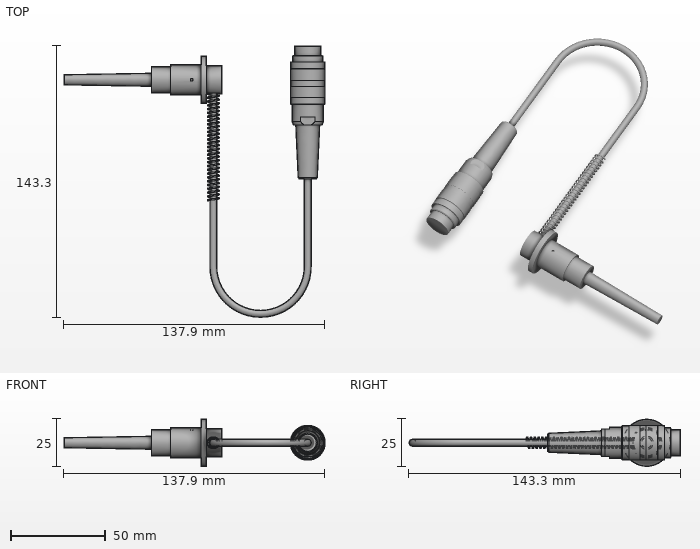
import cadquery as cq

cable_dia = 3.7
plug_x = 49.9
bend_radius = plug_x / 2
bend_y = -98.7

rod_tip_x = -78.8
collar_start_x = -32.8
barrel_start_x = -22.6
flange_start_x = -6.5
head_start_x = -3.7
head_end_x = 4.5

rod_tip_dia = 5.5
rod_base_dia = 7.0
collar_dia = 13.9
barrel_dia = 16.0
flange_dia = 25.0
head_dia = 15.0

vent_dia = 1.5
vent_x = -11.5
vent_depth = 1.5

wire_dia = 0.7
spring_dia = 6.3
coil_pitch = 2.0
coil_count = 28
first_coil_y = -7.5
seat_dia = 6.6
seat_y = first_coil_y + wire_dia / 2

plug_end_y = 17.8
nose_length = 4.9
shoulder_length = 3.5
ring_length = 3.9
grip_length = 5.9
groove_length = 3.2
nut_length = 10.7
nut_taper_length = 1.9
boot_length = 28.4
edge_chamfer = 0.5

nose_dia = 13.9
shoulder_dia = 16.0
sleeve_dia = 18.2
grip_dia = 18.5
nut_dia = 16.6
nut_end_dia = 15.2
boot_base_dia = 12.8
boot_tip_dia = 10.2
boot_tip_chamfer = 0.6

flats_across = 14.8
flats_length = 4.2


def cylinder_x(start, end, dia):
    """Cylinder on the probe axis between two places along X."""
    return cq.Workplane("YZ", origin=(start, 0, 0)).circle(dia / 2).extrude(end - start)


def cone_x(start, end, start_dia, end_dia):
    """Cone frustum on the probe axis."""
    outline = [(start, 0), (start, start_dia / 2), (end, end_dia / 2), (end, 0)]
    return cq.Workplane("XY").polyline(outline).close().revolve(360, (0, 0, 0), (1, 0, 0))


def make_rod():
    """Tapered probe rod, butted against the collar."""
    return cone_x(rod_tip_x, collar_start_x, rod_tip_dia, rod_base_dia)


def make_housing():
    """Stepped probe housing with collar, barrel, flange and head."""
    housing = cylinder_x(collar_start_x, barrel_start_x, collar_dia)
    housing = housing.union(cylinder_x(barrel_start_x, flange_start_x, barrel_dia))
    housing = housing.union(cylinder_x(flange_start_x, head_start_x, flange_dia))
    housing = housing.union(cylinder_x(head_start_x, head_end_x, head_dia))

    vent_top = barrel_dia / 2
    vent = (
        cq.Workplane("XY", origin=(vent_x, 0, vent_top - vent_depth))
        .circle(vent_dia / 2)
        .extrude(2 * vent_depth)
    )
    seat = (
        cq.Workplane("XZ", origin=(0, seat_y, 0))
        .circle(seat_dia / 2)
        .extrude(head_dia / 2)
    )
    return housing.cut(vent).cut(seat)


def make_cable(boot_tip_y):
    """Round cable from the seat in the probe head, around a half-circle bend, to the boot tip."""
    path = (
        cq.Workplane("XY")
        .moveTo(0, seat_y)
        .lineTo(0, bend_y)
        .threePointArc((bend_radius, bend_y - bend_radius), (plug_x, bend_y))
        .lineTo(plug_x, boot_tip_y)
    )
    start = cq.Workplane("XZ", origin=(0, seat_y, 0)).circle(cable_dia / 2)
    return start.sweep(path)


def make_spring():
    """Coil spring around the cable, starting on the seat in the probe head."""
    mean_radius = (spring_dia - wire_dia) / 2
    helix = cq.Wire.makeHelix(coil_pitch, coil_pitch * coil_count, mean_radius)
    spring = (
        cq.Workplane("XZ", origin=(mean_radius, 0, 0))
        .circle(wire_dia / 2)
        .sweep(cq.Workplane(obj=helix), isFrenet=True)
    )
    spring = spring.rotate((0, 0, 0), (0, 0, 1), 180)
    spring = spring.rotate((0, 0, 0), (1, 0, 0), 90)
    return spring.translate((0, first_coil_y, 0))


def make_plug(nut_end_y):
    """Stepped plug with two raised grip bands and a nut with wrench flats."""
    steps = [
        (nose_length, nose_dia, 0, 0),
        (shoulder_length, shoulder_dia, edge_chamfer, 0),
        (ring_length, sleeve_dia, 0, edge_chamfer),
        (grip_length, grip_dia, 0, 0),
        (groove_length, sleeve_dia, 0, 0),
        (grip_length, grip_dia, 0, 0),
        (ring_length, sleeve_dia, 0, edge_chamfer),
        (nut_length - nut_taper_length, nut_dia, 0, 0),
    ]
    outline = [(plug_x, plug_end_y)]
    y = plug_end_y
    for length, dia, start_chamfer, end_chamfer in steps:
        x = plug_x + dia / 2
        end_y = y - length
        if start_chamfer:
            outline.append((x - start_chamfer, y))
        outline += [(x, y - start_chamfer), (x, end_y + end_chamfer)]
        if end_chamfer:
            outline.append((x - end_chamfer, end_y))
        y = end_y
    outline += [(plug_x + nut_end_dia / 2, nut_end_y), (plug_x, nut_end_y)]
    plug = (
        cq.Workplane("XY")
        .polyline(outline)
        .close()
        .revolve(360, (plug_x, 0, 0), (plug_x, 1, 0))
    )
    for side in (1, -1):
        center = (plug_x, nut_end_y + flats_length / 2, side * (flats_across + nut_dia) / 2)
        flat = cq.Workplane("XY", origin=center).box(nut_dia, flats_length, nut_dia)
        plug = plug.cut(flat)
    return plug


def make_boot(nut_end_y, boot_tip_y):
    """Tapered strain relief between the nut and the cable."""
    outline = [
        (plug_x, nut_end_y),
        (plug_x + boot_base_dia / 2, nut_end_y),
        (plug_x + boot_tip_dia / 2, boot_tip_y),
        (plug_x, boot_tip_y),
    ]
    boot = (
        cq.Workplane("XY")
        .polyline(outline)
        .close()
        .revolve(360, (plug_x, 0, 0), (plug_x, 1, 0))
    )
    return boot.faces("<Y").edges().chamfer(boot_tip_chamfer)


sleeve_length = 2 * ring_length + 2 * grip_length + groove_length
plug_nut_end_y = plug_end_y - nose_length - shoulder_length - sleeve_length - nut_length
cable_end_y = plug_nut_end_y - boot_length

rod = make_rod()
housing = make_housing()
cable = make_cable(cable_end_y)
spring = make_spring()
plug = make_plug(plug_nut_end_y)
boot = make_boot(plug_nut_end_y, cable_end_y)

result = cq.Compound.makeCompound(
    [rod.val(), housing.val(), cable.val(), spring.val(), plug.val(), boot.val()]
)